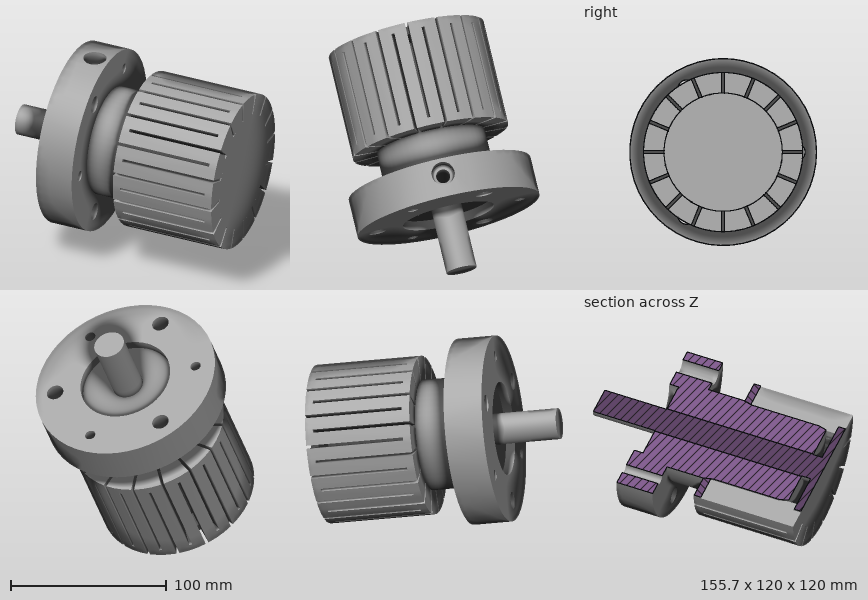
import cadquery as cq
import math


OVERALL_LENGTH = 155.7

FLANGE_DIAMETER = 120.0
FLANGE_LENGTH = 25.0
HUB_DIAMETER = 71.2
HUB_LENGTH = 24.9
RECESS_DIAMETER = 60.1
RECESS_DEPTH = 6.0
TAPER_LENGTH = 6.0
TAPER_ANGLE = 15
NOSE_LENGTH = 58.0

HOLE_CIRCLE_RADIUS = 47.0
LARGE_HOLE_DIAMETER = 11.0
SMALL_HOLE_DIAMETER = 6.9
HOLES_PER_SIZE = 3

PORT_X = 15.1
PORT_DIAMETER = 9.0
PORT_COUNTERBORE_DIAMETER = 15.0
PORT_COUNTERBORE_DEPTH = 9.0

SLEEVE_DIAMETER = 102.3
SLEEVE_LENGTH = 69.0
SLOTS_PER_END = 16
SLOT_WIDTH = 2.0
SLOT_END_WALL = 5.0

ROD_DIAMETER = 20.0
DISC_DIAMETER = 76.0
DISC_LENGTH = 5.0
ROD_FRONT_LENGTH = OVERALL_LENGTH - FLANGE_LENGTH - HUB_LENGTH - SLEEVE_LENGTH

SLEEVE_FRONT_X = FLANGE_LENGTH + HUB_LENGTH
SLEEVE_REAR_X = SLEEVE_FRONT_X + SLEEVE_LENGTH
DISC_FRONT_X = SLEEVE_REAR_X - DISC_LENGTH
NOSE_END_X = SLEEVE_FRONT_X + NOSE_LENGTH
TAPER_DROP = TAPER_LENGTH * math.tan(math.radians(TAPER_ANGLE))
HUB_RADIUS = HUB_DIAMETER / 2
NOSE_RADIUS = HUB_RADIUS - TAPER_DROP
NOSE_END_RADIUS = NOSE_RADIUS - TAPER_DROP


def cylinder(start_x, length, diameter):
    """Solid cylinder on the X axis, running in +X from start_x."""
    return cq.Workplane("YZ", origin=(start_x, 0, 0)).circle(diameter / 2).extrude(length)


def tapered_nose():
    """Core inside the sleeve: a taper at each end of a straight length, narrowing towards +X."""
    outline = [
        (SLEEVE_FRONT_X, 0),
        (SLEEVE_FRONT_X, HUB_RADIUS),
        (SLEEVE_FRONT_X + TAPER_LENGTH, NOSE_RADIUS),
        (NOSE_END_X - TAPER_LENGTH, NOSE_RADIUS),
        (NOSE_END_X, NOSE_END_RADIUS),
        (NOSE_END_X, 0),
    ]
    return cq.Workplane("XY").polyline(outline).close().revolve(360, (0, 0, 0), (1, 0, 0))


def flange_holes(diameter, first_angle):
    """Cutters for one ring of equally spaced holes; the angle is measured from +Y towards +Z."""
    return (
        cq.Workplane("YZ")
        .polarArray(HOLE_CIRCLE_RADIUS, first_angle, 360, HOLES_PER_SIZE)
        .circle(diameter / 2)
        .extrude(FLANGE_LENGTH)
    )


def radial_port():
    """Cutter for the counterbored port that runs from the top of the flange to the rod."""
    top = cq.Workplane("XY", origin=(PORT_X, 0, FLANGE_DIAMETER / 2))
    counterbore = top.circle(PORT_COUNTERBORE_DIAMETER / 2).extrude(-PORT_COUNTERBORE_DEPTH)
    port = top.circle(PORT_DIAMETER / 2).extrude(-FLANGE_DIAMETER / 2)
    return counterbore.union(port)


def make_housing():
    """Recessed flange, hub and tapered nose, bored through for the draw rod."""
    body = cylinder(0, FLANGE_LENGTH, FLANGE_DIAMETER)
    body = body.union(cylinder(FLANGE_LENGTH, HUB_LENGTH, HUB_DIAMETER))
    body = body.union(tapered_nose())
    body = body.cut(cylinder(0, RECESS_DEPTH, RECESS_DIAMETER))
    body = body.cut(flange_holes(LARGE_HOLE_DIAMETER, 0))
    body = body.cut(flange_holes(SMALL_HOLE_DIAMETER, 180))
    body = body.cut(radial_port())
    return body.cut(cylinder(0, NOSE_END_X, ROD_DIAMETER))


def sleeve_slots(start_x, first_angle):
    """Cutters for the radial slots that open at one end of the sleeve."""
    length = SLEEVE_LENGTH - SLOT_END_WALL
    height = SLEEVE_DIAMETER
    slot = cq.Workplane("XY").box(length, SLOT_WIDTH, height, centered=(False, True, False))
    slots = cq.Workplane("XY")
    for index in range(SLOTS_PER_END):
        angle = first_angle + index * 360 / SLOTS_PER_END
        slots = slots.add(slot.rotate((0, 0, 0), (1, 0, 0), angle).translate((start_x, 0, 0)))
    return slots.combine()


def make_sleeve():
    """Sleeve that fits the tapered nose and is slotted alternately from both ends."""
    body = cylinder(SLEEVE_FRONT_X, SLEEVE_LENGTH, SLEEVE_DIAMETER)
    body = body.cut(tapered_nose())
    body = body.cut(cylinder(NOSE_END_X, DISC_FRONT_X - NOSE_END_X, 2 * NOSE_END_RADIUS))
    body = body.cut(cylinder(DISC_FRONT_X, DISC_LENGTH, DISC_DIAMETER))
    body = body.cut(sleeve_slots(SLEEVE_FRONT_X, 180 / SLOTS_PER_END))
    return body.cut(sleeve_slots(SLEEVE_FRONT_X + SLOT_END_WALL, 0))


def make_draw_rod():
    """Rod through the whole assembly with a disc seated in the rear end of the sleeve."""
    rod = cylinder(-ROD_FRONT_LENGTH, ROD_FRONT_LENGTH + SLEEVE_REAR_X, ROD_DIAMETER)
    return rod.union(cylinder(DISC_FRONT_X, DISC_LENGTH, DISC_DIAMETER))


housing = make_housing()
sleeve = make_sleeve()
draw_rod = make_draw_rod()

result = cq.Compound.makeCompound(
    [housing.solids().val(), sleeve.solids().val(), draw_rod.solids().val()]
)